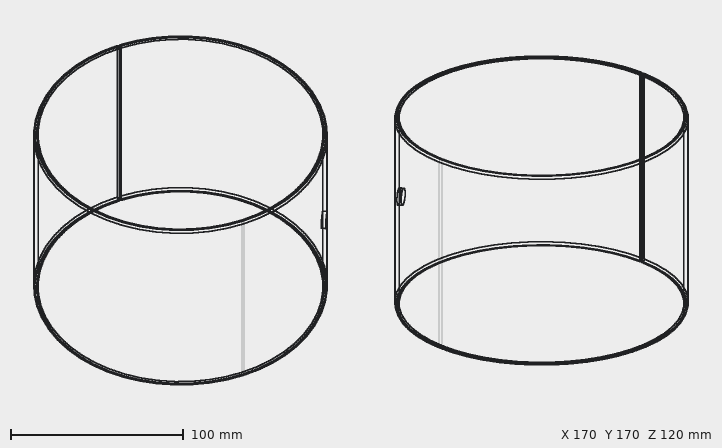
import cadquery as cq

outer_radius = 85.0
height = 120.0
wall = 2.5
inner_radius = outer_radius - wall

outer_bevel_height = 1.7
outer_bevel_width = 0.7
inner_bevel = 0.8

gap_width = 1.4
gap_center_y = 0.7

hole_diameter = 10.0
hole_angle = 59.0

half_height = height / 2


def sleeve():
    """Revolve the wall section, bevelled at all four corners."""
    inner_edge = half_height - inner_bevel
    outer_edge = half_height - outer_bevel_height
    inner_rim = inner_radius + inner_bevel
    outer_rim = outer_radius - outer_bevel_width
    section = [
        (inner_radius, -inner_edge),
        (inner_rim, -half_height),
        (outer_rim, -half_height),
        (outer_radius, -outer_edge),
        (outer_radius, outer_edge),
        (outer_rim, half_height),
        (inner_rim, half_height),
        (inner_radius, inner_edge),
    ]
    return cq.Workplane("XZ").polyline(section).close().revolve(360, (0, 0), (0, 1))


def butt_gap():
    """Full-height cutter reaching from inside the bore past the -X wall."""
    gap_depth = 4 * wall
    return cq.Workplane("XY").box(gap_depth, gap_width, height).translate(
        (-outer_radius, gap_center_y, 0)
    )


def oil_hole():
    """Radial cutter starting on the axis, so it pierces one wall only."""
    cutter = cq.Workplane("YZ").circle(hole_diameter / 2).extrude(outer_radius + wall)
    return cutter.rotate((0, 0, 0), (0, 0, 1), hole_angle)


result = sleeve().cut(butt_gap()).cut(oil_hole())